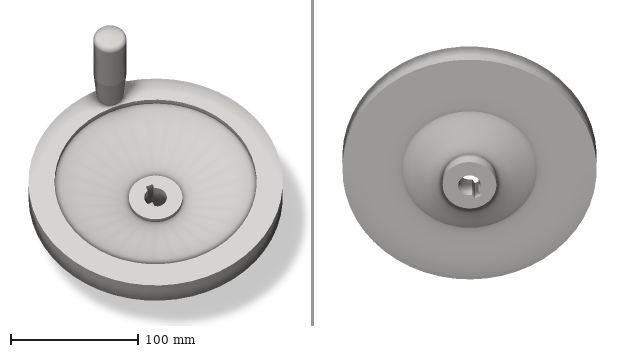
import cadquery as cq
import math

wheel_radius = 100.0
rim_inner_radius = 79.5
rim_bottom = 24.5
rim_top = 45.2
hub_radius = 21.0
hub_top = 24.3
outer_cone_radius = 53.0
outer_cone_bottom = 12.2
dish_edge_depth = 5.3
hub_step = 3.9

bore_radius = 9.0
key_width = 5.9
key_reach = 12.5

grip_radius = 13.0
grip_offset = 202.8 - wheel_radius - grip_radius
neck_radius = 6.7
grip_end_radius = 10.7
grip_chamfer = 0.6
grip_bottom = 47.5
grip_chamfer_top = 48.9
taper_top = 77.7
fillet_start = 122.3
fillet_radius = 4.0
dome_radius = 10.3
handle_top = 127.5


def make_wheel():
    """Dished disc with a thick rim and a raised hub."""
    profile = [
        (0, 0),
        (hub_radius, 0),
        (hub_radius, outer_cone_bottom),
        (outer_cone_radius, rim_bottom),
        (wheel_radius, rim_bottom),
        (wheel_radius, rim_top),
        (rim_inner_radius, rim_top),
        (rim_inner_radius, rim_top - dish_edge_depth),
        (hub_radius, hub_top - hub_step),
        (hub_radius, hub_top),
        (0, hub_top),
    ]
    return cq.Workplane("XZ").polyline(profile).close().revolve(360, (0, 0), (0, 1))


def make_bore():
    """Through bore with a keyway on the handle side."""
    bore = cq.Workplane("XY").circle(bore_radius).extrude(hub_top)
    keyway = (
        cq.Workplane("XY")
        .center(-key_reach / 2, 0)
        .rect(key_reach, key_width)
        .extrude(hub_top)
    )
    return bore.union(keyway)


def make_handle():
    """Tapered grip with a rounded, domed end, standing on a short neck."""
    fillet_center = grip_radius - fillet_radius
    dome_angle = math.acos((dome_radius - fillet_center) / fillet_radius)
    dome_edge = fillet_start + fillet_radius * math.sin(dome_angle)
    fillet_middle = (
        fillet_center + fillet_radius * math.cos(dome_angle / 2),
        fillet_start + fillet_radius * math.sin(dome_angle / 2),
    )
    dome_height = handle_top - dome_edge
    dome_sphere = (dome_radius**2 + dome_height**2) / (2 * dome_height)
    middle_radius = dome_radius / 2
    middle_drop = dome_sphere - math.sqrt(dome_sphere**2 - middle_radius**2)
    return (
        cq.Workplane("XZ")
        .moveTo(0, rim_bottom)
        .lineTo(neck_radius, rim_bottom)
        .lineTo(neck_radius, grip_bottom)
        .lineTo(grip_end_radius - grip_chamfer, grip_bottom)
        .lineTo(grip_end_radius, grip_chamfer_top)
        .lineTo(grip_radius, taper_top)
        .lineTo(grip_radius, fillet_start)
        .threePointArc(fillet_middle, (dome_radius, dome_edge))
        .threePointArc((middle_radius, handle_top - middle_drop), (0, handle_top))
        .close()
        .revolve(360, (0, 0), (0, 1))
        .translate((-grip_offset, 0, 0))
    )


result = make_wheel().cut(make_bore()).union(make_handle())